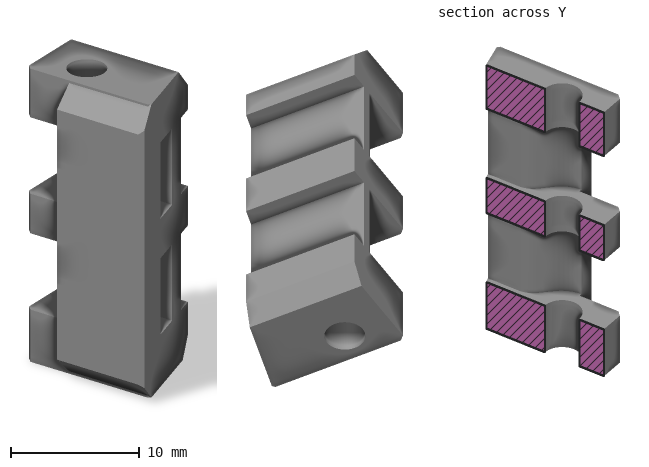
import cadquery as cq
import math

HEIGHT = 25.34
BODY_DEPTH = 8.18
BACK_WIDTH = 9.65
SIDE_TILT = math.radians(15)
LEFT_CORNER_CHAMFER = 0.42
RIGHT_CORNER_CHAMFER = 0.25

TOP_BEVEL = 2.06
BOTTOM_BEVEL_DEPTH = 1.13
BOTTOM_BEVEL_HEIGHT = 1.67

LIP_START_X = 4.10
LIP_PROJECTION = 1.68
LIP_FACE_TILT = 0.3
LIP_END_INSET = 0.18
LIP_TIP_X = 12.21
LIP_TIP_CHAMFER_WIDTH = 0.38
LIP_OVERLAP = 0.50

HOLE_DIAMETER = 3.2
HOLE_X = 3.97
HOLE_Y = 2.58

WINDOW_HEIGHT = 6.60
WINDOW_BOTTOMS = (4.51, 14.53)
BACK_SLOT_DEPTH = 1.55
WINDOW_BACK_Y = 5.75
WINDOW_FRONT_Y = -0.26
OUTLET_BACK_Y = 4.73
OUTLET_FRONT_Y = 2.14
OUTLET_START_X = 8.40
MOUTH_BEND_RADIUS = 3.0
OUTLET_BEND_RADIUS = 2.0
FRONT_BEND_ANGLE = math.radians(45)

MARGIN = 2.0


def side_x(y):
    """X of the sloping right side at depth y."""
    return BACK_WIDTH + (BODY_DEPTH - y) * math.tan(SIDE_TILT)


def extrude_along_x(points):
    """Solid with a (Y, Z) outline, longer in X than the part on both ends."""
    length = LIP_TIP_X + 2 * MARGIN
    return cq.Workplane("YZ").workplane(offset=-MARGIN).polyline(points).close().extrude(length)


def make_body():
    plan = [
        (0, LEFT_CORNER_CHAMFER),
        (LEFT_CORNER_CHAMFER, 0),
        (side_x(0) - RIGHT_CORNER_CHAMFER, 0),
        (side_x(RIGHT_CORNER_CHAMFER), RIGHT_CORNER_CHAMFER),
        (BACK_WIDTH, BODY_DEPTH),
        (0, BODY_DEPTH),
    ]
    side_profile = [
        (0, 0),
        (BODY_DEPTH - BOTTOM_BEVEL_DEPTH, 0),
        (BODY_DEPTH, BOTTOM_BEVEL_HEIGHT),
        (BODY_DEPTH, HEIGHT - TOP_BEVEL),
        (BODY_DEPTH - TOP_BEVEL, HEIGHT),
        (0, HEIGHT),
    ]
    prism = cq.Workplane("XY").polyline(plan).close().extrude(HEIGHT)
    return prism.intersect(extrude_along_x(side_profile))


def make_lip():
    """Lip with a slightly tilted front face and 45 degree bevels that run along that face."""
    tip_y = BODY_DEPTH - (LIP_TIP_X - BACK_WIDTH) / math.tan(SIDE_TILT)
    face_end_x = LIP_TIP_X - LIP_TIP_CHAMFER_WIDTH
    plan = [
        (LIP_START_X, LIP_OVERLAP),
        (LIP_START_X, -LIP_PROJECTION),
        (face_end_x, -LIP_PROJECTION),
        (LIP_TIP_X, tip_y),
        (side_x(LIP_OVERLAP), LIP_OVERLAP),
    ]
    bevel_end = LIP_END_INSET + LIP_PROJECTION
    rear_y = LIP_OVERLAP + MARGIN
    side_profile = [
        (rear_y, 0),
        (LIP_END_INSET, 0),
        (-LIP_PROJECTION, bevel_end),
        (-LIP_PROJECTION, HEIGHT - bevel_end),
        (LIP_END_INSET, HEIGHT),
        (rear_y, HEIGHT),
    ]
    pivot = (face_end_x, -LIP_PROJECTION, 0)
    pivot_axis_end = (face_end_x, -LIP_PROJECTION, HEIGHT)
    tilted_profile = extrude_along_x(side_profile).rotate(pivot, pivot_axis_end, -LIP_FACE_TILT)
    prism = cq.Workplane("XY").polyline(plan).close().extrude(HEIGHT)
    return prism.intersect(tilted_profile)


def bend_points(start, radius, entry_angle, exit_angle):
    """Middle and end points of an arc that turns from one heading to another."""
    turn = math.copysign(1, exit_angle - entry_angle)

    def point_at(heading):
        x = start[0] + turn * radius * (math.sin(heading) - math.sin(entry_angle))
        y = start[1] - turn * radius * (math.cos(heading) - math.cos(entry_angle))
        return (x, y)

    return point_at((entry_angle + exit_angle) / 2), point_at(exit_angle)


def make_window(bottom):
    """Opening that funnels from a wide mouth on the left to a narrow outlet on the right."""
    bend_sum = MOUTH_BEND_RADIUS + OUTLET_BEND_RADIUS
    outlet_end_x = LIP_TIP_X + MARGIN

    ramp_rise = OUTLET_FRONT_Y - WINDOW_FRONT_Y - bend_sum * (1 - math.cos(FRONT_BEND_ANGLE))
    ramp_run = ramp_rise / math.tan(FRONT_BEND_ANGLE)
    front_start = (OUTLET_START_X - bend_sum * math.sin(FRONT_BEND_ANGLE) - ramp_run, WINDOW_FRONT_Y)
    front_mid, ramp_start = bend_points(front_start, MOUTH_BEND_RADIUS, 0, FRONT_BEND_ANGLE)
    ramp_end = (ramp_start[0] + ramp_run, ramp_start[1] + ramp_rise)
    front_outlet_mid, front_outlet = bend_points(ramp_end, OUTLET_BEND_RADIUS, FRONT_BEND_ANGLE, 0)

    back_angle = math.acos(1 - (WINDOW_BACK_Y - OUTLET_BACK_Y) / bend_sum)
    back_start = (OUTLET_START_X - bend_sum * math.sin(back_angle), WINDOW_BACK_Y)
    back_mid, back_joint = bend_points(back_start, MOUTH_BEND_RADIUS, 0, -back_angle)
    back_outlet_mid, back_outlet = bend_points(back_joint, OUTLET_BEND_RADIUS, -back_angle, 0)

    outline = (
        cq.Workplane("XY", origin=(0, 0, bottom))
        .moveTo(-MARGIN, WINDOW_FRONT_Y)
        .lineTo(*front_start)
        .threePointArc(front_mid, ramp_start)
        .lineTo(*ramp_end)
        .threePointArc(front_outlet_mid, front_outlet)
        .lineTo(outlet_end_x, OUTLET_FRONT_Y)
        .lineTo(outlet_end_x, OUTLET_BACK_Y)
        .lineTo(*back_outlet)
        .threePointArc(back_outlet_mid, back_joint)
        .threePointArc(back_mid, back_start)
        .lineTo(-MARGIN, WINDOW_BACK_Y)
        .close()
    )
    return outline.extrude(WINDOW_HEIGHT)


def make_back_slot(bottom):
    """Slot across the full width of the back face."""
    floor_y = BODY_DEPTH - BACK_SLOT_DEPTH
    outer_y = BODY_DEPTH + MARGIN
    top = bottom + WINDOW_HEIGHT
    return extrude_along_x([(floor_y, bottom), (outer_y, bottom), (outer_y, top), (floor_y, top)])


def make_screw_hole():
    return cq.Workplane("XY").center(HOLE_X, HOLE_Y).circle(HOLE_DIAMETER / 2).extrude(HEIGHT)


result = make_body().union(make_lip())
for window_bottom in WINDOW_BOTTOMS:
    result = result.cut(make_window(window_bottom))
    result = result.cut(make_back_slot(window_bottom))
result = result.cut(make_screw_hole())